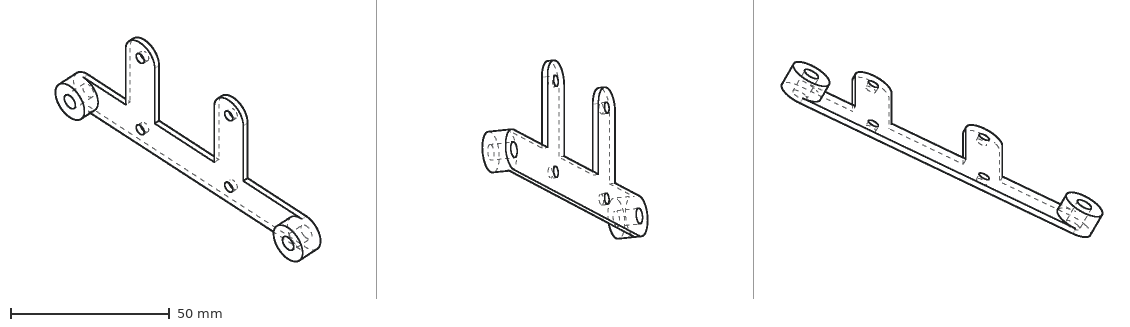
import cadquery as cq

total_length = 110.0
total_depth = 8.0
plate_thickness = 2.0
strip_width = 13.0
mount_hole_diameter = 5.0
arm_hole_diameter = 3.5
arm_rise = 29.5
first_arm_offset = 25.2
arm_spacing = 39.4

boss_spacing = total_length - strip_width
boss_xs = [-boss_spacing / 2, boss_spacing / 2]
left_arm_x = boss_xs[0] + first_arm_offset
arm_xs = [left_arm_x, left_arm_x + arm_spacing]


def cylinders(points, diameter, depth):
    """Cylinders from the plate back toward -Y, centred at (X, Z) points."""
    return cq.Workplane("XZ").pushPoints(points).circle(diameter / 2).extrude(depth)


def bar():
    """Straight plate between the boss axes."""
    return cq.Workplane("XZ").rect(boss_spacing, strip_width).extrude(plate_thickness)


def arm(x):
    """Upright plate strip with a rounded top end."""
    strip = (
        cq.Workplane("XZ")
        .center(x, arm_rise / 2)
        .rect(strip_width, arm_rise)
        .extrude(plate_thickness)
    )
    return strip.union(cylinders([(x, arm_rise)], strip_width, plate_thickness))


boss_points = [(x, 0) for x in boss_xs]
arm_hole_points = [(x, z) for x in arm_xs for z in (0, arm_rise)]

result = bar()
for arm_x in arm_xs:
    result = result.union(arm(arm_x))
result = result.union(cylinders(boss_points, strip_width, total_depth))

result = result.cut(cylinders(boss_points, mount_hole_diameter, total_depth))
result = result.cut(cylinders(arm_hole_points, arm_hole_diameter, plate_thickness))